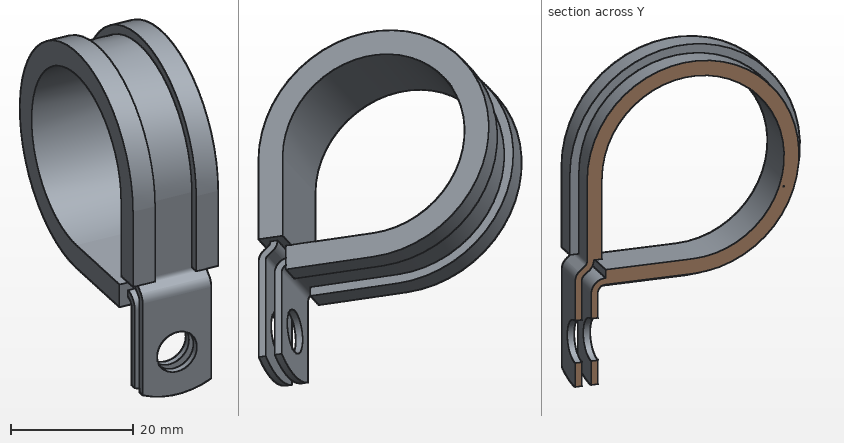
import cadquery as cq
import math

outer_radius = 20.1
cushion_thickness = 4.25
cushion_width = 15.75
upright_leg_end_z = -14.0
flat_leg_end_x = 15.3

groove_width = 7.6
groove_depth = 1.55
band_thickness = 1.2
band_width = 12.65
band_outer = outer_radius - groove_depth
band_inner = band_outer - band_thickness

tab_bottom_z = outer_radius - 55.8
inner_tab_right_x = 17.8
outer_tab_right_x = 20.6
tab_end_sagitta = 1.4
hole_diameter = 7.3
hole_z = -27.8

joggle_inner_radius = 1.0
joggle_end_z = -17.25
joggle_outer_radius = joggle_inner_radius + band_thickness


def extrude_centred(profile, width):
    return profile.extrude(width / 2, both=True)


def loop_solid(radius, width):
    """Filled loop: three quarters of a disc, and straight sides to both leg ends."""
    diagonal = radius * math.sqrt(0.5)
    profile = (
        cq.Workplane("XZ")
        .moveTo(radius, upright_leg_end_z)
        .lineTo(radius, 0)
        .threePointArc((-diagonal, diagonal), (0, -radius))
        .lineTo(flat_leg_end_x, -radius)
        .lineTo(flat_leg_end_x, upright_leg_end_z)
        .close()
    )
    return extrude_centred(profile, width)


def make_cushion():
    inner_radius = outer_radius - cushion_thickness
    diagonal = inner_radius * math.sqrt(0.5)
    opening = (
        cq.Workplane("XZ")
        .moveTo(inner_radius, -outer_radius)
        .lineTo(inner_radius, 0)
        .threePointArc((-diagonal, diagonal), (0, -inner_radius))
        .lineTo(flat_leg_end_x, -inner_radius)
        .lineTo(flat_leg_end_x, -outer_radius)
        .close()
    )
    opening = extrude_centred(opening, cushion_width)
    groove = loop_solid(outer_radius, groove_width).cut(loop_solid(band_outer, groove_width))
    return loop_solid(outer_radius, cushion_width).cut(opening).cut(groove)


def make_inner_tab():
    """Tab that turns down from the flat leg through a quarter bend."""
    bend_radius = inner_tab_right_x - flat_leg_end_x
    inside_radius = bend_radius - band_thickness
    bend_z = -band_inner - bend_radius
    left_x = inner_tab_right_x - band_thickness

    def bend_middle(radius):
        diagonal = radius * math.sqrt(0.5)
        return (flat_leg_end_x + diagonal, bend_z + diagonal)

    profile = (
        cq.Workplane("XZ")
        .moveTo(flat_leg_end_x, -band_inner)
        .threePointArc(bend_middle(bend_radius), (inner_tab_right_x, bend_z))
        .lineTo(inner_tab_right_x, tab_bottom_z)
        .lineTo(left_x, tab_bottom_z)
        .lineTo(left_x, bend_z)
        .threePointArc(bend_middle(inside_radius), (flat_leg_end_x, -band_outer))
        .close()
    )
    return extrude_centred(profile, band_width)


def make_outer_tab():
    """Tab that steps outward below the upright leg, then runs straight down."""
    upper_centre_x = band_outer + joggle_inner_radius
    lower_centre_x = outer_tab_right_x - joggle_outer_radius
    left_x = outer_tab_right_x - band_thickness

    def upper_bend(radius, degrees):
        angle = math.radians(degrees)
        x = upper_centre_x - radius * math.cos(angle)
        return (x, upright_leg_end_z - radius * math.sin(angle))

    def lower_bend(radius, degrees):
        angle = math.radians(degrees)
        x = lower_centre_x + radius * math.cos(angle)
        return (x, joggle_end_z + radius * math.sin(angle))

    profile = (
        cq.Workplane("XZ")
        .moveTo(*upper_bend(joggle_inner_radius, 0))
        .threePointArc(upper_bend(joggle_inner_radius, 22.5), upper_bend(joggle_inner_radius, 45))
        .lineTo(*lower_bend(joggle_outer_radius, 45))
        .threePointArc(lower_bend(joggle_outer_radius, 22.5), lower_bend(joggle_outer_radius, 0))
        .lineTo(outer_tab_right_x, tab_bottom_z)
        .lineTo(left_x, tab_bottom_z)
        .lineTo(*lower_bend(joggle_inner_radius, 0))
        .threePointArc(lower_bend(joggle_inner_radius, 22.5), lower_bend(joggle_inner_radius, 45))
        .lineTo(*upper_bend(joggle_outer_radius, 45))
        .threePointArc(upper_bend(joggle_outer_radius, 22.5), upper_bend(joggle_outer_radius, 0))
        .close()
    )
    return extrude_centred(profile, band_width)


def make_tab_face():
    """Tab face seen along X: rounded lower end and a bolt hole."""
    half_width = band_width / 2
    corner_z = tab_bottom_z + tab_end_sagitta
    face = (
        cq.Workplane("YZ")
        .moveTo(-half_width, 0)
        .lineTo(-half_width, corner_z)
        .threePointArc((0, tab_bottom_z), (half_width, corner_z))
        .lineTo(half_width, 0)
        .close()
        .extrude(outer_tab_right_x)
    )
    hole = cq.Workplane("YZ").center(0, hole_z).circle(hole_diameter / 2).extrude(outer_tab_right_x)
    return face.cut(hole)


tabs = make_inner_tab().union(make_outer_tab()).intersect(make_tab_face())
result = make_cushion().union(tabs)